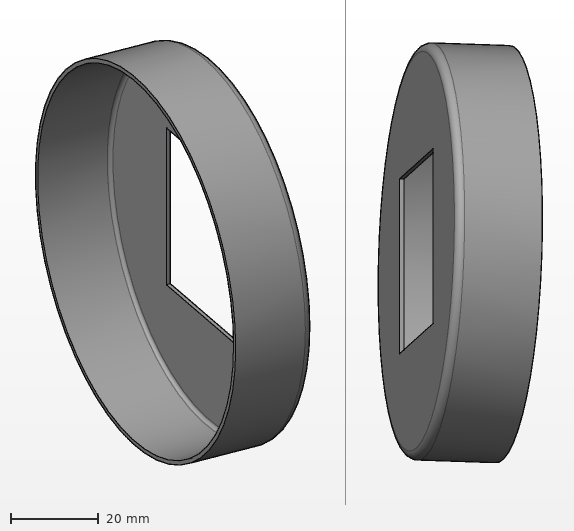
import cadquery as cq

outer_diameter = 95.0
depth = 20.0
wall = 1.0
outer_fillet = 2.0
inner_fillet = outer_fillet - wall
window_side = 40.4


def cylinder_along_y(diameter, length):
    """Cylinder centred on the Y axis, running from Y = 0 to Y = length."""
    return cq.Workplane("XZ").circle(diameter / 2).extrude(-length)


body = cylinder_along_y(outer_diameter, depth).faces(">Y").edges().fillet(outer_fillet)
cavity = (
    cylinder_along_y(outer_diameter - 2 * wall, depth - wall)
    .faces(">Y")
    .edges()
    .fillet(inner_fillet)
)

window = cq.Workplane("XZ").rect(window_side, window_side).extrude(-depth)

result = body.cut(cavity).cut(window)